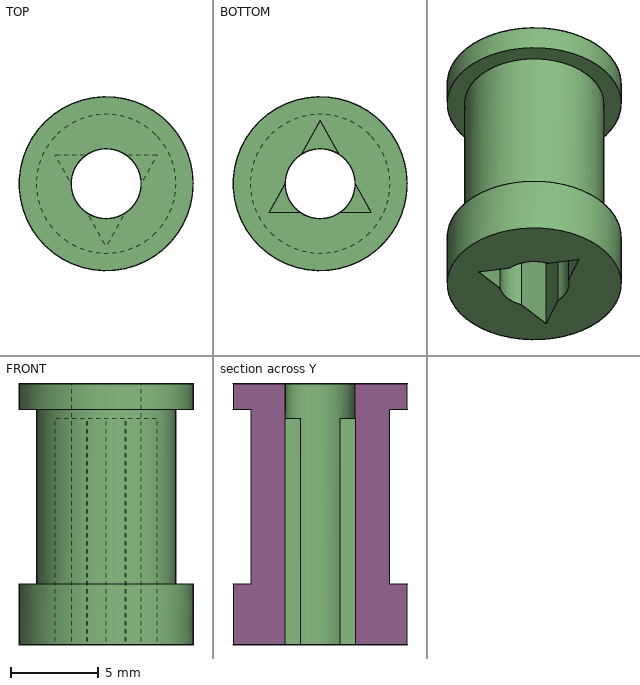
import cadquery as cq

total_height = 15.0
flange_diameter = 10.0
barrel_diameter = 8.0
bore_diameter = 4.0
base_flange_height = 3.5
top_flange_height = 1.5

socket_roof_thickness = 2.0
socket_width = 5.86
socket_height = 5.28
socket_side_offset = 1.65

socket_depth = total_height - socket_roof_thickness


def make_spool():
    """Barrel with a thick flange at the base and a thin flange at the top."""
    barrel = cq.Workplane("XY").circle(barrel_diameter / 2).extrude(total_height)
    base_flange = cq.Workplane("XY").circle(flange_diameter / 2).extrude(base_flange_height)
    top_flange = (
        cq.Workplane("XY")
        .workplane(offset=total_height - top_flange_height)
        .circle(flange_diameter / 2)
        .extrude(top_flange_height)
    )
    return barrel.union(base_flange).union(top_flange)


def make_bore():
    """Round hole along the full length of the axis."""
    return cq.Workplane("XY").circle(bore_diameter / 2).extrude(total_height)


def make_socket():
    """Isosceles triangular prism whose corners reach beyond the bore wall."""
    corners = [
        (socket_width / 2, socket_side_offset),
        (-socket_width / 2, socket_side_offset),
        (0, socket_side_offset - socket_height),
    ]
    return cq.Workplane("XY").polyline(corners).close().extrude(socket_depth)


result = make_spool().cut(make_bore()).cut(make_socket())